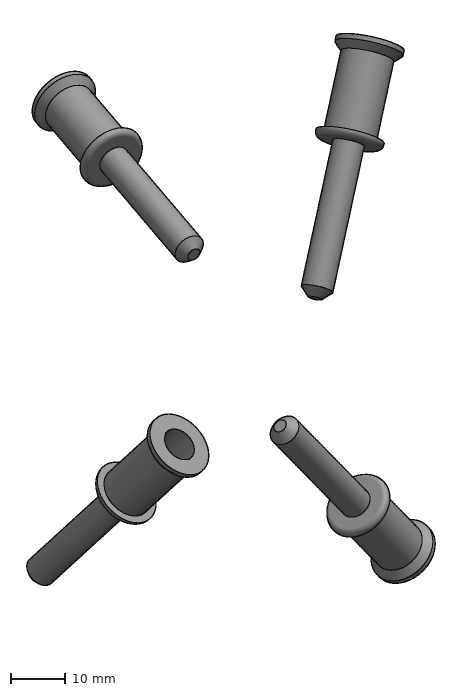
import cadquery as cq
import math

total_length = 49.0

rim_diameter = 12.9
rim_width = 1.0
barrel_diameter = 10.0

flange_start = 17.9
flange_width = 1.3
flange_round = 1.05

shaft_diameter = 6.0
tip_chamfer = 1.7

bore_diameter = 6.5
bore_depth = 14.7
drill_point_angle = 118.0

rim_radius = rim_diameter / 2
barrel_radius = barrel_diameter / 2
shaft_radius = shaft_diameter / 2
bore_radius = bore_diameter / 2

head_cone_end = rim_width + rim_radius - barrel_radius
flange_end = flange_start + flange_width
drill_point_end = bore_depth + bore_radius / math.tan(math.radians(drill_point_angle / 2))
arc_offset = flange_round * (1 - math.sqrt(0.5))


def revolve_about_x(profile):
    return profile.close().revolve(360, (0, 0, 0), (1, 0, 0))


def make_body():
    profile = (
        cq.Workplane("XY")
        .lineTo(0, rim_radius)
        .lineTo(rim_width, rim_radius)
        .lineTo(head_cone_end, barrel_radius)
        .lineTo(flange_start, barrel_radius)
        .lineTo(flange_start, rim_radius)
        .lineTo(flange_end - flange_round, rim_radius)
        .threePointArc(
            (flange_end - arc_offset, rim_radius - arc_offset),
            (flange_end, rim_radius - flange_round),
        )
        .lineTo(flange_end, shaft_radius)
        .lineTo(total_length - tip_chamfer, shaft_radius)
        .lineTo(total_length, shaft_radius - tip_chamfer)
        .lineTo(total_length, 0)
    )
    return revolve_about_x(profile)


def make_bore():
    profile = (
        cq.Workplane("XY")
        .lineTo(0, bore_radius)
        .lineTo(bore_depth, bore_radius)
        .lineTo(drill_point_end, 0)
    )
    return revolve_about_x(profile)


result = make_body().cut(make_bore())